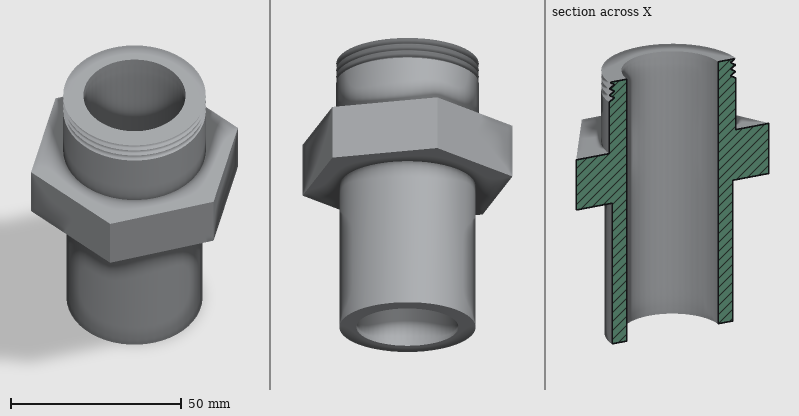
import cadquery as cq
import math

total_height = 83.0
bore_diameter = 30.0

pipe_diameter = 40.0
pipe_length = 44.5

hex_across_flats = 55.0
hex_height = 16.0
hex_sides = 6
half_sector = 180 / hex_sides
hex_across_corners = hex_across_flats / math.cos(math.radians(half_sector))

neck_diameter = 41.91
groove_count = 3
groove_pitch = 2.08
groove_depth = 1.7

hex_top = pipe_length + hex_height


def make_body():
    """Pipe end, hexagonal collar and neck stacked along Z."""
    pipe = cq.Workplane("XY").circle(pipe_diameter / 2).extrude(pipe_length)
    collar = (
        cq.Workplane("XY")
        .workplane(offset=pipe_length)
        .polygon(hex_sides, hex_across_corners)
        .extrude(hex_height)
        .rotate((0, 0, 0), (0, 0, 1), half_sector)
    )
    neck = (
        cq.Workplane("XY")
        .workplane(offset=hex_top)
        .circle(neck_diameter / 2)
        .extrude(total_height - hex_top)
    )
    return pipe.union(collar).union(neck)


def make_groove(upper_edge):
    """Ring-shaped V-groove cutter whose upper edge lies at the given height."""
    crest_radius = neck_diameter / 2
    return (
        cq.Workplane("XZ")
        .moveTo(crest_radius, upper_edge)
        .lineTo(crest_radius - groove_depth, upper_edge - groove_pitch / 2)
        .lineTo(crest_radius, upper_edge - groove_pitch)
        .close()
        .revolve(360, (0, 0, 0), (0, 1, 0))
    )


def make_bore():
    """Through bore along the full height."""
    return cq.Workplane("XY").circle(bore_diameter / 2).extrude(total_height)


result = make_body().cut(make_bore())
for index in range(groove_count):
    result = result.cut(make_groove(total_height - index * groove_pitch))